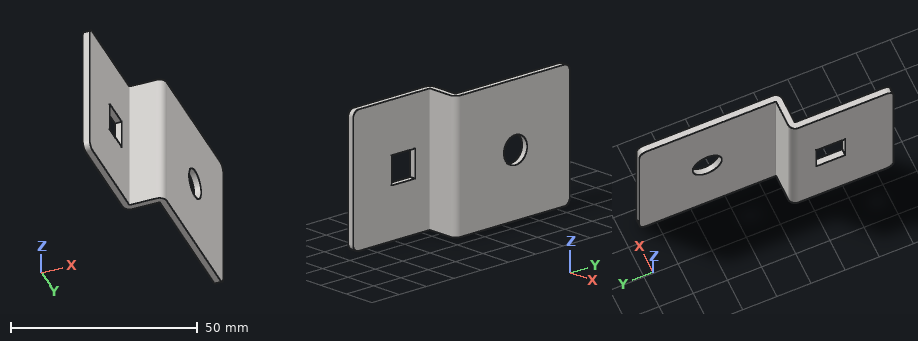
import cadquery as cq

length = 70.0
width = 12.0
height = 40.0

sheet = 2.0
inner_bend_radius = 0.1
outer_bend_radius = inner_bend_radius + sheet
corner_radius = 2.0

web_from_short_end = 28.0

opening_size = 8.5
square_from_short_end = 18.4
round_from_long_end = 19.9

x_min = -width / 2
x_max = width / 2
short_leg_inside = x_min + sheet
long_leg_inside = x_max - sheet
y_min = -length / 2
y_max = length / 2
web_front = y_min + web_from_short_end
web_back = web_front + sheet


def make_folded_sheet():
    """Z-shaped sheet extruded along Z, with sharp bends."""
    return (
        cq.Workplane("XY", origin=(0, 0, -height / 2))
        .moveTo(x_min, y_min)
        .lineTo(short_leg_inside, y_min)
        .lineTo(short_leg_inside, web_front)
        .lineTo(x_max, web_front)
        .lineTo(x_max, y_max)
        .lineTo(long_leg_inside, y_max)
        .lineTo(long_leg_inside, web_back)
        .lineTo(x_min, web_back)
        .close()
        .extrude(height)
    )


def round_bend_edge(body, x, y, radius):
    """Fillet the vertical edge nearest to (x, y)."""
    return body.edges("|Z").edges(cq.NearestToPointSelector((x, y, 0))).fillet(radius)


def opening_plane(x, y):
    """Plane facing +X on the low-X face of a leg, centred on an opening."""
    return cq.Workplane("YZ", origin=(x, y, 0))


bracket = make_folded_sheet()

bracket = round_bend_edge(bracket, short_leg_inside, web_front, inner_bend_radius)
bracket = round_bend_edge(bracket, x_min, web_back, outer_bend_radius)
bracket = round_bend_edge(bracket, long_leg_inside, web_back, inner_bend_radius)
bracket = round_bend_edge(bracket, x_max, web_front, outer_bend_radius)

for leg_end in ("<Y", ">Y"):
    bracket = bracket.faces(leg_end).edges("|X").fillet(corner_radius)

square_plane = opening_plane(x_min, y_min + square_from_short_end)
bracket = bracket.cut(square_plane.rect(opening_size, opening_size).extrude(sheet))

round_plane = opening_plane(long_leg_inside, y_max - round_from_long_end)
bracket = bracket.cut(round_plane.circle(opening_size / 2).extrude(sheet))

result = bracket